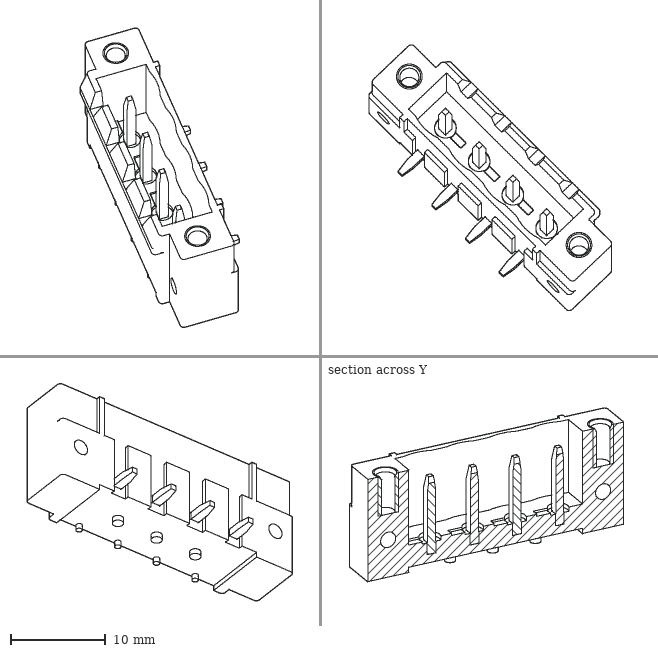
import cadquery as cq

LENGTH = 30.48
HEIGHT = 12.0
FLANGE_DEPTH = 6.52
PLATE_THICK = 0.5
PLATE_HEIGHT = 7.25
CORNER_RADIUS = 0.43

WALL_WIDTH = 23.07
WALL_DEPTH = 7.62
LIP_DEPTH = 8.4
LIP_HEIGHT = 3.0
BEVEL_HEIGHT = 2.0

PIN_COUNT = 4
PITCH = 5.1
PIN_Y = -4.1
PIN_WIDTH = 1.0
PIN_TIP_WIDTH = 0.55
PIN_TOP = 10.65
PIN_TAPER = 1.52
LEG_Z = 2.1
LEG_THICK = 0.88
LEG_TIP_WIDTH = 0.6
LEG_TIP_Y = 2.6
LEG_TAPER = 1.5
PIN_XS = [(i - (PIN_COUNT - 1) / 2) * PITCH for i in range(PIN_COUNT)]
GAP_XS = [(left + right) / 2 for left, right in zip(PIN_XS, PIN_XS[1:])]

CAVITY_WIDTH = 20.67
CAVITY_REAR_Y = -1.3
CAVITY_FRONT_Y = -6.92
CAVITY_FLOOR = 3.5
SCALLOP_WIDTH = 3.32
SCALLOP_RISE = 0.27
RECESS_DIAMETER = 2.3
RECESS_DEPTH = 0.5
GROOVE_WIDTH = 0.8
GROOVE_REACH = 2.7
GROOVE_DEPTH = 0.25

NOTCH_TOP_WIDTH = 2.0
NOTCH_BOTTOM_WIDTH = 1.0

PLATE_GAP_END = 8.4
PLATE_BLOCK_WIDTH = 3.02
RIB_WIDTH = 0.65

CHANNEL_HEIGHT = 0.6
SMALL_FOOT_DIAMETER = 0.7
SMALL_FOOT_Y = -7.25
LARGE_FOOT_DIAMETER = 1.2
LARGE_FOOT_Y = -3.8

FLANGE_HOLE_X = 12.8
CROSS_HOLE_DIAMETER = 1.75
CROSS_HOLE_Z = 4.4
INSERT_Y = -3.85
INSERT_DIAMETER = 2.7
INSERT_BORE = 2.0
INSERT_MOUTH = 2.4
INSERT_MOUTH_DEPTH = 0.43
INSERT_LENGTH = 4.57
FLANGE_XS = [-FLANGE_HOLE_X, FLANGE_HOLE_X]


def block(x0, x1, y0, y1, z0, z1):
    """Box between opposite corners."""
    return cq.Workplane("XY").box(x1 - x0, y1 - y0, z1 - z0, centered=False).translate((x0, y0, z0))


def rod(x, y, diameter, z0, z1):
    """Vertical cylinder."""
    return cq.Workplane("XY", origin=(x, y, z0)).circle(diameter / 2).extrude(z1 - z0)


def flange_body():
    """Long body with rounded corners; its lower part is deeper and forms the rear plate."""
    half = LENGTH / 2
    upper = block(-half, half, -FLANGE_DEPTH, -PLATE_THICK, 0, HEIGHT).edges("|Z").fillet(CORNER_RADIUS)
    lower = block(-half, half, -FLANGE_DEPTH, 0, 0, PLATE_HEIGHT).edges("|Z").fillet(CORNER_RADIUS)
    return upper.union(lower)


def plate_gaps():
    """Openings that split the rear plate into sections, one at each pin."""
    opening = block(-PLATE_GAP_END, PLATE_GAP_END, -PLATE_THICK, 0, 0, PLATE_HEIGHT)
    half = PLATE_BLOCK_WIDTH / 2
    for x in GAP_XS:
        opening = opening.cut(block(x - half, x + half, -PLATE_THICK, 0, 0, PLATE_HEIGHT))
    return opening


def rear_rib(side):
    """Full-height rib on the rear, level with a cavity end wall."""
    outer = side * CAVITY_WIDTH / 2
    inner = outer - side * RIB_WIDTH
    return block(min(outer, inner), max(outer, inner), -FLANGE_DEPTH / 2, 0, 0, HEIGHT)


def front_wall():
    """Front wall block with rounded vertical corners."""
    half = WALL_WIDTH / 2
    wall = block(-half, half, -WALL_DEPTH, -FLANGE_DEPTH / 2, 0, HEIGHT)
    return wall.edges("|Z and <Y").fillet(CORNER_RADIUS)


def lip():
    """Overhanging lip, bevelled at the top, with rounded ends."""
    profile = [
        (-FLANGE_DEPTH / 2, HEIGHT - LIP_HEIGHT),
        (-LIP_DEPTH, HEIGHT - LIP_HEIGHT),
        (-LIP_DEPTH, HEIGHT - BEVEL_HEIGHT),
        (-WALL_DEPTH, HEIGHT),
        (-FLANGE_DEPTH / 2, HEIGHT),
    ]
    body = cq.Workplane("YZ").polyline(profile).close().extrude(WALL_WIDTH / 2, both=True)
    front_zone = cq.selectors.BoxSelector(
        (-LENGTH, -2 * LIP_DEPTH, HEIGHT - LIP_HEIGHT),
        (LENGTH, -WALL_DEPTH, HEIGHT),
    )
    front_ends = body.faces("<X or >X").edges("not(#Z)").edges(front_zone)
    return front_ends.fillet(CORNER_RADIUS)


def cavity():
    """Open-topped cavity whose rear wall is scalloped behind each pin."""
    half = CAVITY_WIDTH / 2
    height = HEIGHT - CAVITY_FLOOR
    space = block(-half, half, CAVITY_FRONT_Y, CAVITY_REAR_Y, CAVITY_FLOOR, HEIGHT)
    for x in PIN_XS:
        scallop = (
            cq.Workplane("XY", origin=(x, CAVITY_REAR_Y, CAVITY_FLOOR))
            .moveTo(-SCALLOP_WIDTH / 2, 0)
            .threePointArc((0, SCALLOP_RISE), (SCALLOP_WIDTH / 2, 0))
            .close()
            .extrude(height)
        )
        space = space.union(scallop)
    return space


def floor_recess(x):
    """Round recess around a pin with a shallower groove leading away from it."""
    recess = rod(x, PIN_Y, RECESS_DIAMETER, CAVITY_FLOOR - RECESS_DEPTH, CAVITY_FLOOR)
    half = GROOVE_WIDTH / 2
    groove_start = max(x - GROOVE_REACH, -CAVITY_WIDTH / 2)
    groove = block(groove_start, x, PIN_Y - half, PIN_Y + half, CAVITY_FLOOR - GROOVE_DEPTH, CAVITY_FLOOR)
    return recess.union(groove)


def lip_notch(x):
    """Tapered notch through the front wall and lip."""
    profile = [
        (x - NOTCH_BOTTOM_WIDTH / 2, HEIGHT - BEVEL_HEIGHT),
        (x + NOTCH_BOTTOM_WIDTH / 2, HEIGHT - BEVEL_HEIGHT),
        (x + NOTCH_TOP_WIDTH / 2, HEIGHT),
        (x - NOTCH_TOP_WIDTH / 2, HEIGHT),
    ]
    notch = cq.Workplane("XZ", origin=(0, CAVITY_FRONT_Y, 0)).polyline(profile).close()
    return notch.extrude(LIP_DEPTH + CAVITY_FRONT_Y)


def cross_hole(x):
    """Horizontal hole through a flange from front to rear."""
    hole = cq.Workplane("XZ").center(x, CROSS_HOLE_Z).circle(CROSS_HOLE_DIAMETER / 2)
    return hole.extrude(FLANGE_DEPTH)


def make_housing():
    housing = flange_body().cut(plate_gaps()).union(front_wall()).union(lip())
    for side in (-1, 1):
        housing = housing.union(rear_rib(side))
    housing = housing.cut(cavity())

    channel_half = CAVITY_WIDTH / 2
    housing = housing.cut(block(-channel_half, channel_half, -WALL_DEPTH, 0, 0, CHANNEL_HEIGHT))
    for x in PIN_XS:
        housing = housing.union(rod(x, SMALL_FOOT_Y, SMALL_FOOT_DIAMETER, 0, CHANNEL_HEIGHT))
        housing = housing.cut(lip_notch(x)).cut(floor_recess(x)).cut(make_pin(x))
    for x in GAP_XS:
        housing = housing.union(rod(x, LARGE_FOOT_Y, LARGE_FOOT_DIAMETER, 0, CHANNEL_HEIGHT))
    for x in FLANGE_XS:
        socket = rod(x, INSERT_Y, INSERT_DIAMETER, HEIGHT - INSERT_LENGTH, HEIGHT)
        housing = housing.cut(cross_hole(x)).cut(socket)
    return housing


def make_pin(x):
    """Right-angle pin: a vertical contact and a horizontal solder leg, both with tapered tips."""
    half = PIN_WIDTH / 2
    leg_bottom = LEG_Z - LEG_THICK / 2
    contact = block(x - half, x + half, PIN_Y - half, PIN_Y + half, leg_bottom, PIN_TOP - PIN_TAPER)
    contact_tip = (
        cq.Workplane("XY", origin=(x, PIN_Y, PIN_TOP - PIN_TAPER))
        .rect(PIN_WIDTH, PIN_WIDTH)
        .workplane(offset=PIN_TAPER)
        .rect(PIN_TIP_WIDTH, PIN_TIP_WIDTH)
        .loft(ruled=True)
    )
    taper_y = LEG_TIP_Y - LEG_TAPER
    leg = block(x - half, x + half, PIN_Y, taper_y, leg_bottom, leg_bottom + LEG_THICK)
    leg_tip = (
        cq.Workplane("XZ", origin=(x, taper_y, LEG_Z))
        .rect(PIN_WIDTH, LEG_THICK)
        .workplane(offset=-LEG_TAPER)
        .rect(LEG_TIP_WIDTH, LEG_TIP_WIDTH)
        .loft(ruled=True)
    )
    return contact.union(contact_tip).union(leg).union(leg_tip)


def make_insert(x):
    """Bushing flush with the flange top, its bore opening out in a conical mouth."""
    bottom = HEIGHT - INSERT_LENGTH
    half_section = [
        (INSERT_BORE / 2, bottom),
        (INSERT_DIAMETER / 2, bottom),
        (INSERT_DIAMETER / 2, HEIGHT),
        (INSERT_MOUTH / 2, HEIGHT),
        (INSERT_BORE / 2, HEIGHT - INSERT_MOUTH_DEPTH),
    ]
    section = cq.Workplane("XZ", origin=(x, INSERT_Y, 0)).polyline(half_section).close()
    return section.revolve(360, (0, 0, 0), (0, 1, 0))


housing = make_housing()
pins = [make_pin(x).val() for x in PIN_XS]
inserts = [make_insert(x).val() for x in FLANGE_XS]

result = cq.Compound.makeCompound([housing.val(), *pins, *inserts])